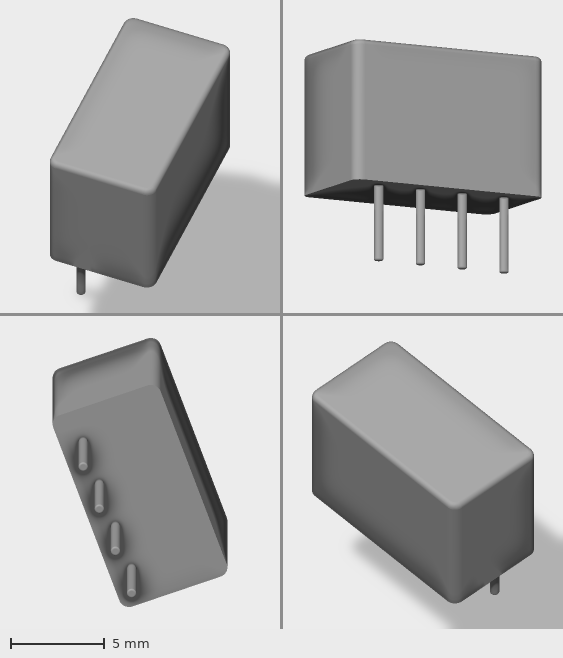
import cadquery as cq

housing_width = 6.1
housing_length = 11.53
total_height = 11.72
pin_length = 4.08
housing_height = total_height - pin_length
corner_radius = 0.55
top_edge_radius = 0.28

pin_diameter = 0.5
pin_count = 4
pin_pitch = 2.54
pin_row_x = -1.8
pin_row_center_y = -0.13
pin_tip_radius = 0.1


def make_housing():
    """Block with rounded vertical corners and a rounded top edge."""
    block = cq.Workplane("XY").box(
        housing_width, housing_length, housing_height, centered=(True, True, False)
    )
    return block.edges("|Z").fillet(corner_radius).faces(">Z").edges().fillet(top_edge_radius)


def make_pin(y):
    """Round pin hanging from the underside of the housing, with a rounded tip edge."""
    pin = cq.Workplane("XY").center(pin_row_x, y).circle(pin_diameter / 2).extrude(-pin_length)
    return pin.faces("<Z").edges().fillet(pin_tip_radius)


housing = make_housing()

first_pin_y = pin_row_center_y - pin_pitch * (pin_count - 1) / 2
pins = []
for index in range(pin_count):
    pins.append(make_pin(first_pin_y + index * pin_pitch).val())

result = cq.Compound.makeCompound([housing.val(), *pins])